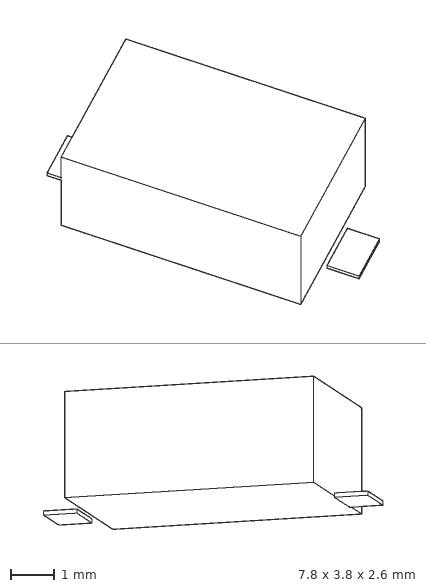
import cadquery as cq

overall_length = 7.8
overall_height = 2.6

pad_length = 0.8
pad_width = 1.2
pad_thickness = 0.1
end_gap = 0.1

body_length = overall_length - 2 * (pad_length + end_gap)
body_width = 3.8
body_height = overall_height - pad_thickness

bottom_up = (True, True, False)


def make_body():
    """Plain rectangular block raised by the pad thickness."""
    block = cq.Workplane("XY").box(body_length, body_width, body_height, centered=bottom_up)
    return block.translate((0, 0, pad_thickness))


def make_pad(side):
    """Flat pad at the -X (side = -1) or +X (side = 1) end."""
    center_x = side * (overall_length - pad_length) / 2
    plate = cq.Workplane("XY").box(pad_length, pad_width, pad_thickness, centered=bottom_up)
    return plate.translate((center_x, 0, 0))


body = make_body()
pads = [make_pad(side) for side in (-1, 1)]

result = cq.Compound.makeCompound([body.val(), *[pad.val() for pad in pads]])